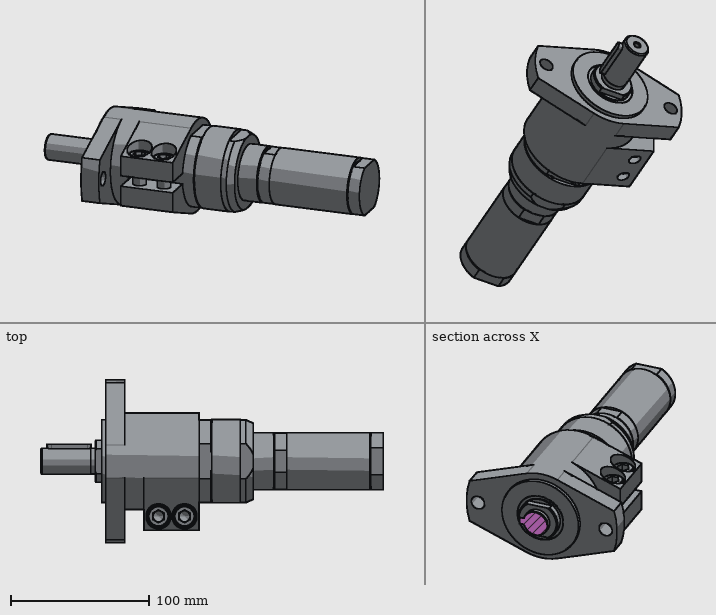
import cadquery as cq
import math


shaft_diameter = 19.0
shaft_neck_diameter = 18.8
shaft_neck_start = 36.0
shaft_chamfer = 1.0
key_width = 6.0
key_length = 32.0
key_start = 4.5
key_top_radius = 12.4
center_hole_diameter = 4.13
center_sink_diameter = 5.5
center_hole_depth = 12.0

collar_start = 39.4
collar_diameter = 30.6
collar_chamfer = 0.8
collar_flats = 24.7
recess_diameter = 35.8
recess_depth = 1.0

pilot_start = 44.0
pilot_diameter = 60.0
flange_start = 47.0
flange_thickness = 13.8
flange_span = 118.0
flange_hole_spacing = 100.0
flange_hole_diameter = 10.3
housing_diameter = 70.0
flank_angle = 20.0

clamp_start = 74.5
clamp_length = 40.0
clamp_reach = 50.0
slot_width = 8.0
screw_spacing = 18.8
screw_offset = 39.8
screw_diameter = 10.0
screw_length = 25.0
screw_tap_diameter = 8.38
screw_head_diameter = 16.0
screw_head_height = 10.0
screw_head_chamfer = 1.0
screw_seat_height = 9.0
counterbore_diameter = 18.0
hex_width = 8.0
hex_depth = 5.0
drill_point_angle = 118.0

adapter_diameter = 60.0
adapter_flats = 54.3
adapter_relief_diameter = 56.0
adapter_ring_diameter = 60.4
adapter_ring_start = 123.7
adapter_ring_end = 144.0
adapter_taper_start = 148.3
adapter_end = 153.7
adapter_end_diameter = 55.0

motor_diameter = 41.5
middle_flats_start = 168.2
middle_flats_end = 177.9
middle_diameter = 41.2
middle_flats = 38.0
rear_flats_start = 237.8
rear_flats = 36.5
total_length = 247.5

relief_width = 0.7

flat_cutter_margin = 1.0

clamp_end = clamp_start + clamp_length
clamp_middle = clamp_start + clamp_length / 2
flank = math.radians(flank_angle)
housing_radius = housing_diameter / 2
tangent_y = housing_radius * math.sin(flank)
tangent_z = housing_radius * math.cos(flank)


def cylinder(x_start, x_end, diameter):
    """Round bar along X."""
    return cq.Workplane("YZ", origin=(x_start, 0, 0)).circle(diameter / 2).extrude(x_end - x_start)


def ring(x_start, x_end, outer_diameter, inner_diameter):
    """Tube along X."""
    return cylinder(x_start, x_end, outer_diameter).cut(cylinder(x_start, x_end, inner_diameter))


def upright(x, y, z_bottom, z_top, diameter):
    """Round bar along Z."""
    return cq.Workplane("XY", origin=(x, y, z_bottom)).circle(diameter / 2).extrude(z_top - z_bottom)


def cut_flats(body, x_start, x_end, diameter, width):
    """Mill a pair of flats, facing +Z and -Z, over a length of the body."""
    length = x_end - x_start
    height = (diameter - width) / 2 + flat_cutter_margin
    for side in (1, -1):
        z_middle = side * (width + height) / 2
        cutter = cq.Workplane("XY").box(length, diameter + flat_cutter_margin, height)
        body = body.cut(cutter.translate((x_start + length / 2, 0, z_middle)))
    return body


def make_shaft():
    """Shaft with a round-ended key on its +Y side and a countersunk centre hole."""
    shaft = cylinder(0, shaft_neck_start, shaft_diameter).faces("<X").chamfer(shaft_chamfer)
    shaft = shaft.union(cylinder(shaft_neck_start, pilot_start + recess_depth, shaft_neck_diameter))
    key = (
        cq.Workplane("XZ")
        .center(key_start + key_length / 2, 0)
        .slot2D(key_length, key_width)
        .extrude(-key_top_radius)
    )
    shaft = shaft.union(key)
    sink_depth = (center_sink_diameter - center_hole_diameter) / 2
    sink = cq.Solid.makeCone(
        center_sink_diameter / 2,
        center_hole_diameter / 2,
        sink_depth,
        cq.Vector(0, 0, 0),
        cq.Vector(1, 0, 0),
    )
    return shaft.cut(cylinder(0, center_hole_depth, center_hole_diameter)).cut(cq.Workplane(sink))


def make_collar():
    """Collar whose flats stop at the pilot face; below it the collar is fully round."""
    collar_end = pilot_start + recess_depth
    collar = cylinder(collar_start, collar_end, collar_diameter).faces("<X").chamfer(collar_chamfer)
    return cut_flats(collar, collar_start, pilot_start, collar_diameter, collar_flats)


def make_housing():
    """Gear housing with the recessed pilot on its front."""
    pilot = cylinder(pilot_start, flange_start, pilot_diameter)
    recess = cylinder(pilot_start, pilot_start + recess_depth, recess_diameter)
    return pilot.cut(recess).union(cylinder(flange_start, clamp_end, housing_diameter))


def make_flange():
    """Lozenge whose flanks are tangent to the housing, trimmed by a large circle."""
    tip_y = housing_radius / math.sin(flank)
    lozenge = (
        cq.Workplane("YZ", origin=(flange_start, 0, 0))
        .moveTo(tangent_y, tangent_z)
        .lineTo(tip_y, 0)
        .lineTo(tangent_y, -tangent_z)
        .lineTo(-tangent_y, -tangent_z)
        .lineTo(-tip_y, 0)
        .lineTo(-tangent_y, tangent_z)
        .close()
        .extrude(flange_thickness)
    )
    flange = lozenge.intersect(cylinder(flange_start, flange_start + flange_thickness, flange_span))
    holes = (
        cq.Workplane("YZ", origin=(flange_start, 0, 0))
        .rarray(flange_hole_spacing, 1, 2, 1)
        .circle(flange_hole_diameter / 2)
        .extrude(flange_thickness)
    )
    return flange.cut(holes)


def make_clamp_jaws():
    """Pair of jaws on the -Y side, with flanks tangent to the housing."""
    edge_z = tangent_z - (clamp_reach - tangent_y) * math.tan(flank)
    return (
        cq.Workplane("YZ", origin=(clamp_start, 0, 0))
        .moveTo(-tangent_y, tangent_z)
        .lineTo(-clamp_reach, edge_z)
        .lineTo(-clamp_reach, -edge_z)
        .lineTo(-tangent_y, -tangent_z)
        .close()
        .extrude(clamp_length)
    )


def make_clamp_slot():
    """Gap between the jaws; the spigot of the adapter later fills its inner end."""
    gap = cq.Workplane("XY").box(clamp_length, clamp_reach, slot_width)
    return gap.translate((clamp_middle, -clamp_reach / 2, 0))


def make_screw(x):
    """Hexagon socket cap screw, pointing down."""
    head_top = screw_seat_height + screw_head_height
    head = upright(x, -screw_offset, screw_seat_height, head_top, screw_head_diameter)
    head = head.faces(">Z").chamfer(screw_head_chamfer)
    hex_corners = hex_width / math.cos(math.pi / 6)
    socket = (
        cq.Workplane("XY", origin=(x, -screw_offset, head_top - hex_depth))
        .transformed(rotate=(0, 0, 90))
        .polygon(6, hex_corners)
        .extrude(hex_depth)
    )
    point_depth = hex_width / 2 / math.tan(math.radians(drill_point_angle / 2))
    point = cq.Solid.makeCone(
        hex_width / 2, 0, point_depth, cq.Vector(x, -screw_offset, head_top - hex_depth), cq.Vector(0, 0, -1)
    )
    shank = upright(x, -screw_offset, screw_seat_height - screw_length, screw_seat_height, screw_diameter)
    return head.union(shank).cut(socket).cut(cq.Workplane(point))


def add_clamp(body):
    """Add the slotted jaws with their screw holes and screws."""
    body = body.union(make_clamp_jaws()).cut(make_clamp_slot())
    for side in (-1, 1):
        x = clamp_middle + side * screw_spacing / 2
        body = body.cut(upright(x, -screw_offset, screw_seat_height, housing_radius, counterbore_diameter))
        body = body.cut(upright(x, -screw_offset, -housing_radius, 0, screw_tap_diameter))
        body = body.union(make_screw(x))
    return body


def make_adapter():
    """Spigot gripped by the clamp, then a plain ring between two pairs of flats, then a taper."""
    taper_length = adapter_end - adapter_taper_start
    adapter = cylinder(clamp_start, adapter_taper_start, adapter_diameter)
    taper = cq.Solid.makeCone(
        adapter_diameter / 2,
        adapter_end_diameter / 2,
        taper_length,
        cq.Vector(adapter_taper_start, 0, 0),
        cq.Vector(1, 0, 0),
    )
    adapter = adapter.union(cq.Workplane(taper))
    adapter = cut_flats(adapter, clamp_end, adapter_ring_start, adapter_diameter, adapter_flats)
    adapter = cut_flats(adapter, adapter_ring_end, adapter_end, adapter_diameter, adapter_flats)
    relief_start = adapter_ring_start - relief_width
    adapter = adapter.cut(ring(relief_start, adapter_ring_start, adapter_diameter, adapter_relief_diameter))
    return adapter.union(cylinder(adapter_ring_start, adapter_ring_end, adapter_ring_diameter))


def make_motor():
    """Motor barrel with two sets of wrench flats."""
    motor = cylinder(adapter_end, total_length, motor_diameter)
    motor = motor.cut(ring(middle_flats_start, middle_flats_end, motor_diameter, middle_diameter))
    flat_sets = (
        (middle_flats_start, middle_flats_end, middle_flats),
        (rear_flats_start, total_length, rear_flats),
    )
    for x_start, x_end, width in flat_sets:
        motor = cut_flats(motor, x_start, x_end, motor_diameter, width)
        motor = motor.cut(ring(x_start, x_start + relief_width, motor_diameter, width))
    return motor


body = make_housing().union(make_flange())
body = add_clamp(body)
body = body.union(make_collar()).union(make_shaft())
result = body.union(make_adapter()).union(make_motor())